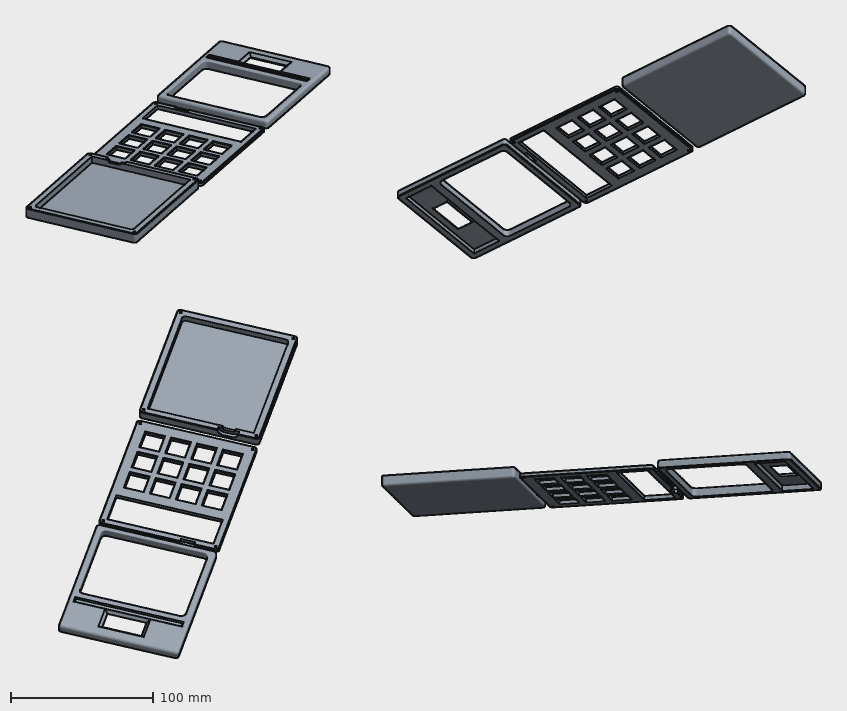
import cadquery as cq
width = 88.0
length = 97.0
total_length = 297.6
pitch = (total_length - length) / 2
corner_radius = 2.5
edge_chamfer = 0.45
opening_width = 78.0

base_y = length / 2
plate_y = base_y + pitch
cover_y = plate_y + pitch

screw_x = 41.5
screw_inset = 2.7
screw_y = length / 2 - screw_inset
screw_diameter = 1.55

cable_x = -21.0
boot_width = 15.2
boot_radius = 4.5
boot_length = 2.7
plug_width = 9.8
plug_radius = 1.8
plate_notch_width = 10.7
plate_notch_depth = 2.5

base_height = 8.0
base_floor = 3.0
base_wall = (width - opening_width) / 2
base_pocket_length = 87.5
base_pocket_y = 0.3
pocket_corner_radius = 2.5
base_fillet = 1.8

plate_height = 3.0
display_length = 22.5
display_margin = 4.8
display_y = length / 2 - display_margin - display_length / 2
key_columns = 4
key_rows = 3
key_pitch = 19.0
key_size = 14.0
key_chamfer = 0.4
key_center_y = -13.5

cover_height = 6.3
cover_fillet = 2.0
keypad_length = 59.0
keypad_margin = 4.5
keypad_corner_radius = 3.5
keypad_fillet = 0.75
lens_width = 28.5
lens_length = 12.2
lens_bevel = 2.5
groove_width = 79.8
groove_length = 4.5
groove_depth = 1.0
groove_y = 22.0


def rounded_block(height):
    """Block standing on Z = 0 with rounded vertical corners."""
    block = cq.Workplane("XY").box(width, length, height, centered=(True, True, False))
    return block.edges("|Z").fillet(corner_radius)


def prism(size_x, size_y, bottom, top, center_y=0.0):
    """Plain rectangular cutter centred on X = 0."""
    return (
        cq.Workplane("XY", origin=(0, center_y, bottom))
        .rect(size_x, size_y)
        .extrude(top - bottom)
    )


def screw_holes(bottom, top):
    """Cutter for the four corner screw holes."""
    return (
        cq.Workplane("XY", origin=(0, 0, bottom))
        .rect(2 * screw_x, 2 * screw_y, forConstruction=True)
        .vertices()
        .circle(screw_diameter / 2)
        .extrude(top - bottom)
    )


def cable_channel(channel_width, radius, start_y, depth):
    """Flat-bottomed round-sided channel sunk into the base rim, running from start_y toward -Y."""
    return (
        cq.Workplane("XZ", origin=(cable_x, start_y, base_height))
        .slot2D(channel_width, 2 * radius)
        .extrude(depth)
    )


def make_base():
    tray = rounded_block(base_height).faces(">Z").chamfer(edge_chamfer).faces("<Z").fillet(base_fillet)
    pocket = prism(opening_width, base_pocket_length, base_floor, base_height, base_pocket_y)
    pocket = pocket.edges("|Z and <Y").fillet(pocket_corner_radius)
    tray = tray.cut(pocket)
    tray = tray.cut(screw_holes(base_floor, base_height))
    tray = tray.cut(cable_channel(boot_width, boot_radius, length / 2, boot_length))
    return tray.cut(cable_channel(plug_width, plug_radius, length / 2, 1.5 * base_wall))


def make_plate():
    plate = rounded_block(plate_height).faces("<Z or >Z").chamfer(edge_chamfer)
    plate = plate.cut(prism(opening_width, display_length, 0, plate_height, display_y))
    keys = (
        cq.Workplane("XY", origin=(0, key_center_y, 0))
        .rarray(key_pitch, key_pitch, key_columns, key_rows)
        .rect(key_size, key_size)
        .extrude(plate_height)
    )
    key_bevels = (
        cq.Workplane("XY", origin=(0, key_center_y, plate_height))
        .rarray(key_pitch, key_pitch, key_columns, key_rows)
        .rect(key_size + 2 * key_chamfer, key_size + 2 * key_chamfer)
        .extrude(-key_chamfer, taper=45)
    )
    plate = plate.cut(keys).cut(key_bevels)
    plate = plate.cut(screw_holes(0, plate_height))
    notch = prism(plate_notch_width, 2 * plate_notch_depth, 0, plate_height, length / 2)
    return plate.cut(notch.translate((cable_x, 0, 0)))


def make_cover():
    cover = rounded_block(cover_height).faces("<Z").chamfer(edge_chamfer).faces(">Z").fillet(cover_fillet)

    keypad_y = -length / 2 + keypad_margin + keypad_length / 2
    keypad = prism(opening_width, keypad_length, 0, cover_height, keypad_y)
    keypad = keypad.edges("|Z").fillet(keypad_corner_radius)
    cover = cover.cut(keypad)
    rim_box = cq.selectors.BoxSelector(
        (-opening_width / 2 - keypad_fillet, keypad_y - keypad_length / 2 - keypad_fillet, cover_height - 0.3),
        (opening_width / 2 + keypad_fillet, keypad_y + keypad_length / 2 + keypad_fillet, cover_height + 0.3),
    )
    cover = cover.edges(rim_box).fillet(keypad_fillet)

    cover = cover.cut(prism(opening_width, display_length, 0, cover_height - lens_bevel, display_y))
    bevel = (
        cq.Workplane("XY", origin=(0, display_y, cover_height))
        .rect(lens_width + 2 * lens_bevel, lens_length + 2 * lens_bevel)
        .extrude(-lens_bevel, taper=45)
    )
    cover = cover.cut(bevel)

    groove = (
        cq.Workplane("XY", origin=(0, groove_y, cover_height))
        .rect(groove_width, groove_length)
        .extrude(-groove_depth, taper=45)
    )
    return cover.cut(groove)


base = make_base().translate((0, base_y, 0))
plate = make_plate().translate((0, plate_y, 0))
cover = make_cover().translate((0, cover_y, 0))

result = cq.Compound.makeCompound([base.val(), plate.val(), cover.val()])